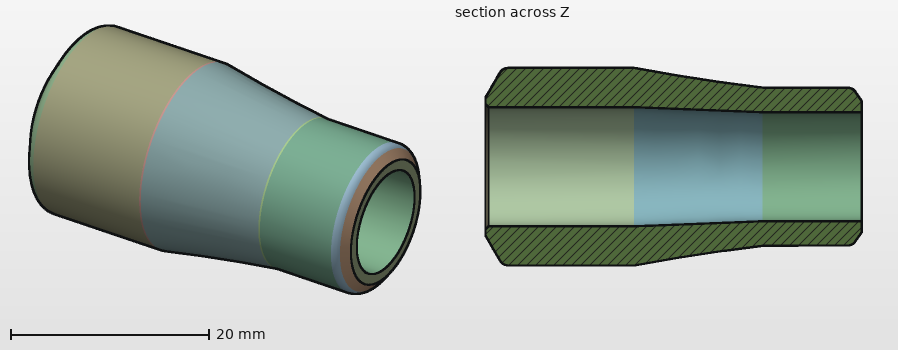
import cadquery as cq
import math

length = 38.0
body_radius = 20.0 / 2
neck_radius = 16.0 / 2
body_face_radius = 7.0
neck_face_radius = 6.6

edge_blend = 1.0
body_bevel_angle = math.radians(60)
neck_bevel_angle = math.radians(55)

body_end = 15.0
neck_start = 27.95
waist_sag = 0.1
body_seam_blend = 1.0
neck_seam_blend = 1.52
seam_margin = 0.38

socket_radius = 12.0 / 2
bore_radius = 11.0 / 2
mouth_chamfer = 0.3


def bevel_blend(radius, face_radius, angle):
    """Distances from the end face, and radii, of three points on a blend arc.

    The arc is tangent to the cylinder and to the bevel rising from the end face.
    """
    bevel_top = radius - edge_blend * (1 - math.cos(angle))
    bevel_depth = (bevel_top - face_radius) / math.tan(angle)
    centre = bevel_depth + edge_blend * math.sin(angle)
    middle = (
        centre - edge_blend * math.sin(angle / 2),
        radius - edge_blend * (1 - math.cos(angle / 2)),
    )
    return (bevel_depth, bevel_top), middle, (centre, radius)


def from_neck_end(point):
    """Turn a distance from the neck face into an X position."""
    return length - point[0], point[1]


def blend_seam(solid, position, radius, blend):
    """Round the circular edge where the waist meets a cylinder."""
    near_seam = cq.selectors.BoxSelector(
        (position - seam_margin, -radius - seam_margin, -radius - seam_margin),
        (position + seam_margin, radius + seam_margin, radius + seam_margin),
        boundingbox=True,
    )
    return solid.edges(near_seam).fillet(blend)


def make_outside():
    body_blend = bevel_blend(body_radius, body_face_radius, body_bevel_angle)
    neck_blend = [
        from_neck_end(point)
        for point in bevel_blend(neck_radius, neck_face_radius, neck_bevel_angle)
    ]
    waist_middle = (
        (body_end + neck_start) / 2,
        (body_radius + neck_radius) / 2 - waist_sag,
    )
    profile = (
        cq.Workplane("XY")
        .lineTo(0, body_face_radius)
        .lineTo(*body_blend[0])
        .threePointArc(*body_blend[1:])
        .lineTo(body_end, body_radius)
        .threePointArc(waist_middle, (neck_start, neck_radius))
        .lineTo(*neck_blend[2])
        .threePointArc(neck_blend[1], neck_blend[0])
        .lineTo(length, neck_face_radius)
        .lineTo(length, 0)
        .close()
    )
    outside = profile.revolve(360, (0, 0, 0), (1, 0, 0))
    outside = blend_seam(outside, body_end, body_radius, body_seam_blend)
    return blend_seam(outside, neck_start, neck_radius, neck_seam_blend)


def make_bore():
    profile = (
        cq.Workplane("XY")
        .lineTo(0, socket_radius + mouth_chamfer)
        .lineTo(mouth_chamfer, socket_radius)
        .lineTo(body_end, socket_radius)
        .lineTo(neck_start, bore_radius)
        .lineTo(length, bore_radius)
        .lineTo(length, 0)
        .close()
    )
    return profile.revolve(360, (0, 0, 0), (1, 0, 0))


result = make_outside().cut(make_bore())